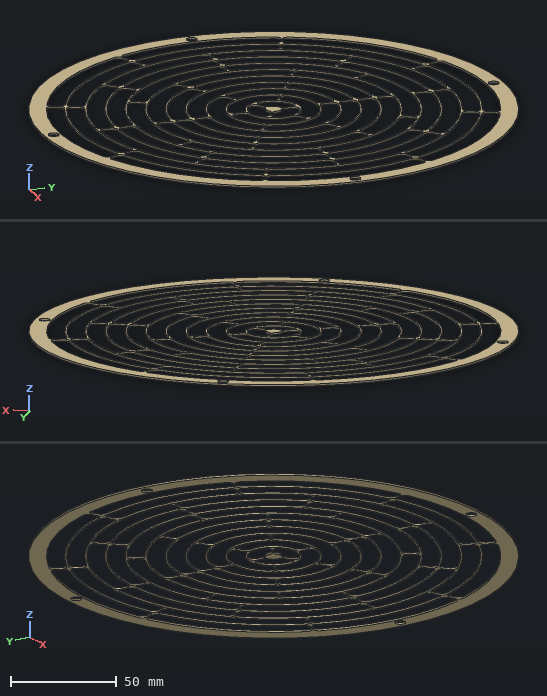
import cadquery as cq
import math

plate_diameter = 232.0
plate_thickness = 1.0

mount_hole_diameter = 5.0
mount_hole_circle_diameter = 222.0
mount_hole_count = 4

hub_radius = 3.9
slot_width = 8.5
wall_thickness = 1.0
ring_pitch = slot_width + wall_thickness
web_thickness = 0.5
slot_corner_radius = 3.0


def even_webs(count, first_angle):
    """Angles in degrees of webs spaced evenly around a ring."""
    return [first_angle + index * 360.0 / count for index in range(count)]


ring_web_angles = [
    even_webs(3, 90.0),
    even_webs(3, 30.0),
    even_webs(3, 90.0),
    [30.0, 90.0, 150.0, 270.0],
    [90.0, 210.0, 270.0, 330.0],
    even_webs(6, 30.0),
    even_webs(6, 0.0),
    even_webs(8, 0.0),
    even_webs(8, 0.0),
    even_webs(8, 22.5),
    even_webs(8, 22.5),
]


def polar_point(radius, angle):
    return (radius * math.cos(angle), radius * math.sin(angle))


def curved_slot(inner_radius, start_web, end_web):
    """Cutter for one slot between two web centre lines, with parallel-sided webs."""
    outer_radius = inner_radius + slot_width
    start = math.radians(start_web)
    end = math.radians(end_web)
    middle = (start + end) / 2
    inner_inset = math.asin(web_thickness / 2 / inner_radius)
    outer_inset = math.asin(web_thickness / 2 / outer_radius)
    return (
        cq.Workplane("XY")
        .moveTo(*polar_point(inner_radius, start + inner_inset))
        .lineTo(*polar_point(outer_radius, start + outer_inset))
        .threePointArc(polar_point(outer_radius, middle), polar_point(outer_radius, end - outer_inset))
        .lineTo(*polar_point(inner_radius, end - inner_inset))
        .threePointArc(polar_point(inner_radius, middle), polar_point(inner_radius, start + inner_inset))
        .close()
        .extrude(plate_thickness)
        .edges("|Z")
        .fillet(slot_corner_radius)
    )


def slot_ring(inner_radius, web_angles):
    """Cutters for all the slots of one ring."""
    next_angles = web_angles[1:] + [web_angles[0] + 360.0]
    return [curved_slot(inner_radius, start, end) for start, end in zip(web_angles, next_angles)]


def mounted_plate():
    """Round plate with the mounting holes drilled through its rim."""
    return (
        cq.Workplane("XY")
        .circle(plate_diameter / 2)
        .extrude(plate_thickness)
        .faces(">Z")
        .workplane()
        .polarArray(mount_hole_circle_diameter / 2, 0, 360, mount_hole_count)
        .hole(mount_hole_diameter)
    )


slot_cutters = []
for ring_index, web_angles in enumerate(ring_web_angles):
    ring_inner_radius = hub_radius + ring_index * ring_pitch
    slot_cutters += slot_ring(ring_inner_radius, web_angles)

all_slots = cq.Compound.makeCompound([cutter.val() for cutter in slot_cutters])
result = mounted_plate().cut(cq.Workplane(all_slots))